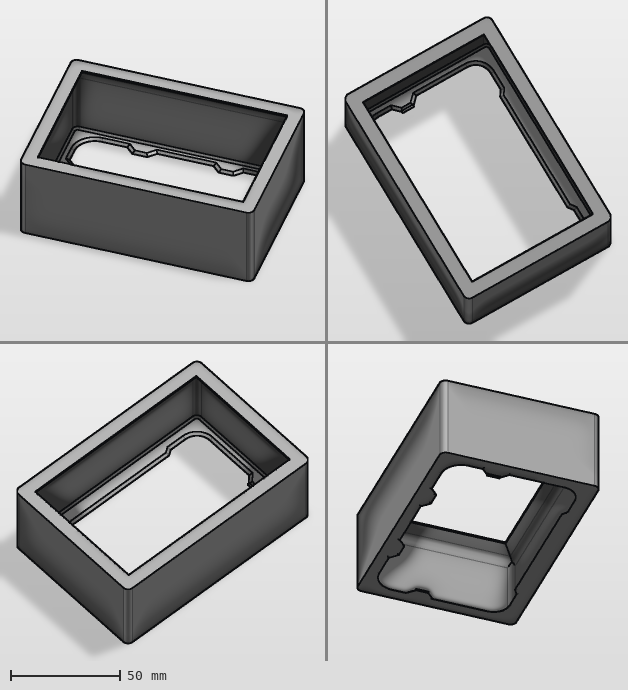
import cadquery as cq
import math

length = 112.4
width = 77.4
height = 41.3
outer_radius = 2.9

wall = 1.0
floor = 1.0
lip_width = 6.7
lip_height = 0.9
cavity_radius = 2.7
lip_blend_radius = 7.4
floor_chamfer = 1.1

window_half_length = 50.1
window_back = 33.0
window_front = -31.4
window_back_radius = 9.7
window_front_radius = 7.9
window_flare = 1.7
flare_angle = math.degrees(math.atan2(window_flare, floor))

back_tab_offset = 20.8
back_tab_tip_y = 29.5
back_tab_half_tip = 3.6
side_tab_y = 9.9
side_tab_tip_x = 46.6
side_tab_half_tip = 3.0
tongue_depth = 0.6
tongue_thickness = 0.3
front_tab_tip_y = -29.5
front_tab_half_tip = 30.6
front_tab_half_base = 33.3
tab_root = 4.5


def make_span(half_span, run):
    """Cavity cross-section with rounded 45-degree slopes at its top, extruded along Y over the run."""
    overhang = lip_width - wall
    slope_top = height - lip_height
    corner_z = slope_top - overhang
    half_turn = math.pi / 8
    arc_start_z = corner_z - lip_blend_radius * math.tan(half_turn)

    def arc_point(turn):
        return (
            half_span - lip_blend_radius * (1 - math.cos(turn)),
            arc_start_z + lip_blend_radius * math.sin(turn),
        )

    half = (
        cq.Workplane("XZ")
        .moveTo(0, floor)
        .lineTo(half_span, floor)
        .lineTo(*arc_point(0))
        .threePointArc(arc_point(half_turn), arc_point(2 * half_turn))
        .lineTo(half_span - overhang, slope_top)
        .lineTo(0, slope_top)
        .close()
        .extrude(run / 2, both=True)
    )
    return half.union(half.mirror("YZ"))


def make_cavity():
    """Cavity with rounded vertical corners, slopes under the lip and a chamfered floor edge."""
    across_length = make_span(length / 2 - wall, width)
    across_width = make_span(width / 2 - wall, length).rotate((0, 0, 0), (0, 0, 1), 90)
    rounded_block = (
        cq.Workplane("XY")
        .workplane(offset=floor)
        .rect(length - 2 * wall, width - 2 * wall)
        .extrude(height)
        .edges("|Z")
        .fillet(cavity_radius)
        .faces("<Z")
        .chamfer(floor_chamfer)
    )
    return rounded_block.intersect(across_length).intersect(across_width)


def make_tab(base_y, tip_y, half_tip, half_base):
    """Tab block from behind the window's +Y edge to its tip, narrowing upward with the window's flare."""
    side_slope = (half_base - half_tip) / (base_y - tip_y)
    root_y = base_y + tab_root
    half_root = half_base + tab_root * side_slope
    outline = [(-half_root, root_y), (-half_tip, tip_y), (half_tip, tip_y), (half_root, root_y)]
    return cq.Workplane("XY").polyline(outline).close().extrude(floor, taper=flare_angle)


def make_window():
    """Flared floor window with rounded corners, less the tabs that reach into it."""
    window = (
        cq.Workplane("XY")
        .sketch()
        .rect(2 * window_half_length, window_back - window_front)
        .vertices(">Y")
        .fillet(window_back_radius)
        .reset()
        .vertices("<Y")
        .fillet(window_front_radius)
        .finalize()
        .extrude(floor, taper=-flare_angle)
        .translate((0, (window_back + window_front) / 2, 0))
    )
    back_half_base = back_tab_half_tip + window_back - back_tab_tip_y
    back_tab = make_tab(window_back, back_tab_tip_y, back_tab_half_tip, back_half_base)
    side_half_base = side_tab_half_tip + window_half_length - side_tab_tip_x
    side_tab = make_tab(window_half_length, side_tab_tip_x, side_tab_half_tip, side_half_base)
    tongue = (
        cq.Workplane("XY")
        .box(2 * side_tab_half_tip, tab_root, tongue_thickness, centered=(True, False, False))
        .translate((0, side_tab_tip_x - tongue_depth, 0))
    )
    side_tab = side_tab.union(tongue)
    front_tab = make_tab(-window_front, -front_tab_tip_y, front_tab_half_tip, front_tab_half_base)
    window = window.cut(front_tab.rotate((0, 0, 0), (0, 0, 1), 180))
    for side in (-1, 1):
        window = window.cut(back_tab.translate((side * back_tab_offset, 0, 0)))
        turned_tab = side_tab.rotate((0, 0, 0), (0, 0, 1), -90 * side)
        window = window.cut(turned_tab.translate((0, side_tab_y, 0)))
    return window


body = cq.Workplane("XY").rect(length, width).extrude(height).edges("|Z").fillet(outer_radius)
lip_opening = (
    cq.Workplane("XY")
    .workplane(offset=height / 2)
    .rect(length - 2 * lip_width, width - 2 * lip_width)
    .extrude(height / 2)
)
result = body.cut(make_cavity()).cut(lip_opening).cut(make_window())